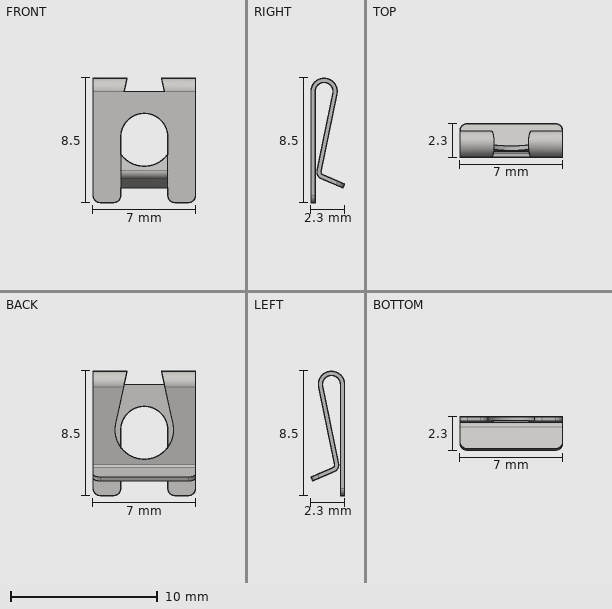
import cadquery as cq
import math

width = 7.0
height = 8.5
depth = 2.3
thickness = 0.3

roll_outer_radius = 0.9
roll_inner_radius = roll_outer_radius - thickness
roll_center = (roll_outer_radius, height - roll_outer_radius)

tongue_angle = math.radians(11.6)
lip_angle = math.radians(23.2)
knee_outer_radius = 0.5
knee_inner_radius = knee_outer_radius - thickness
knee_y = 0.4

opening_z = 4.5
slot_radius = 1.6
hole_radius = 2.0
neck_angle = math.radians(12.4)
corner_radius = 0.5


def move(point, distance, direction):
    return (point[0] + distance * direction[0], point[1] + distance * direction[1])


tongue_normal = (math.cos(tongue_angle), -math.sin(tongue_angle))
tongue_outward = (-tongue_normal[0], -tongue_normal[1])
lip_along = (math.cos(lip_angle), -math.sin(lip_angle))
lip_normal = (-math.sin(lip_angle), -math.cos(lip_angle))

knee_center_y = knee_y + knee_outer_radius
tangent_offset = roll_inner_radius + knee_outer_radius
tongue_length = (
    roll_center[0] + tangent_offset * tongue_normal[0] - knee_center_y
) / math.sin(tongue_angle)
knee_center_z = (
    roll_center[1] + tangent_offset * tongue_normal[1] - tongue_length * math.cos(tongue_angle)
)
knee_center = (knee_center_y, knee_center_z)

lip_length = (depth - knee_center_y - knee_inner_radius * lip_normal[0]) / lip_along[0]


def folded_strip():
    up = (0, 1)
    knee_middle_angle = math.pi / 4 - (lip_angle + tongue_angle) / 2
    knee_middle = (-math.cos(knee_middle_angle), -math.sin(knee_middle_angle))
    lip_inner_start = move(knee_center, knee_inner_radius, lip_normal)
    lip_outer_start = move(knee_center, knee_outer_radius, lip_normal)

    profile = (
        cq.Workplane("YZ", origin=(-width / 2, 0, 0))
        .moveTo(0, 0)
        .lineTo(0, roll_center[1])
        .threePointArc(
            move(roll_center, roll_outer_radius, up),
            move(roll_center, roll_outer_radius, tongue_normal),
        )
        .lineTo(*move(knee_center, knee_inner_radius, tongue_outward))
        .threePointArc(move(knee_center, knee_inner_radius, knee_middle), lip_inner_start)
        .lineTo(*move(lip_inner_start, lip_length, lip_along))
        .lineTo(*move(lip_outer_start, lip_length, lip_along))
        .lineTo(*lip_outer_start)
        .threePointArc(
            move(knee_center, knee_outer_radius, knee_middle),
            move(knee_center, knee_outer_radius, tongue_outward),
        )
        .lineTo(*move(roll_center, roll_inner_radius, tongue_normal))
        .threePointArc(
            move(roll_center, roll_inner_radius, up),
            (thickness, roll_center[1]),
        )
        .lineTo(thickness, 0)
        .close()
    )
    return profile.extrude(width)


def plate_slot():
    """Round-topped slot that opens at the bottom of the front plate."""
    return (
        cq.Workplane("XZ")
        .moveTo(-slot_radius, 0)
        .lineTo(-slot_radius, opening_z)
        .threePointArc((0, opening_z + slot_radius), (slot_radius, opening_z))
        .lineTo(slot_radius, 0)
        .close()
        .extrude(-thickness)
    )


def keyhole():
    """Round tongue hole whose tangent sides narrow upward and open the roll."""
    tangent_x = hole_radius * math.cos(neck_angle)
    tangent_z = opening_z + hole_radius * math.sin(neck_angle)
    top_x = tangent_x - (height - tangent_z) * math.tan(neck_angle)
    opening = (
        cq.Workplane("XZ")
        .moveTo(-top_x, height)
        .lineTo(-tangent_x, tangent_z)
        .threePointArc((0, opening_z - hole_radius), (tangent_x, tangent_z))
        .lineTo(top_x, height)
        .close()
        .extrude(-depth)
    )
    plate = cq.Workplane("XY").box(width, thickness, roll_center[1], centered=(True, False, False))
    return opening.cut(plate)


strip = folded_strip()

lip_corner_direction = cq.Vector(0, *lip_normal)
strip = strip.edges(cq.ParallelDirSelector(lip_corner_direction)).fillet(corner_radius)

clip = strip.cut(plate_slot()).cut(keyhole())
result = clip.faces("<Z").edges("|Y").fillet(corner_radius)